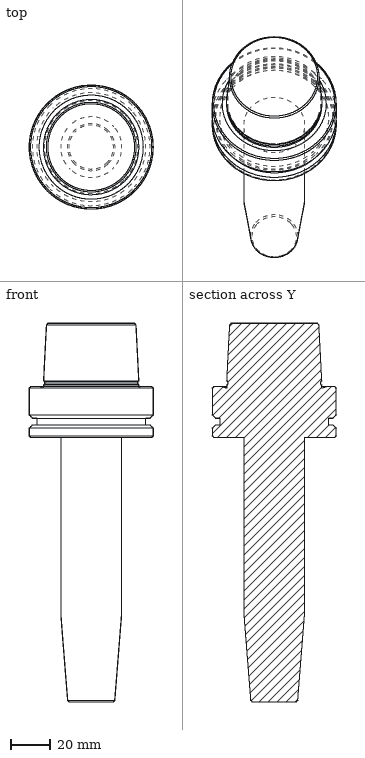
import cadquery as cq

total_height = 191.9
shank_taper_base = 162.7
flange_top = 159.9
flange_bottom = 134.0
groove_top = 145.5
groove_bottom = 138.7
nose_height = 44.3

flange_diameter = 63.0
groove_diameter = 55.3
shank_top_diameter = 45.5
shank_base_diameter = 48.4
neck_diameter = 47.2
collar_diameter = 48.4
recess_diameter = 52.8
body_diameter = 30.9
nose_tip_diameter = 24.0

groove_chamfer = 1.7
flange_chamfer = 0.8
shank_chamfer = 0.8
nose_chamfer = 0.8
neck_step_height = 0.5
recess_depth = 0.8
collar_height = 0.8


def revolve_profile(points):
    """Revolve (radius, height) points about the Z axis."""
    return cq.Workplane("XZ").polyline(points).close().revolve(360, (0, 0, 0), (0, 1, 0))


def make_nose_and_body():
    tip_radius = nose_tip_diameter / 2
    body_radius = body_diameter / 2
    return revolve_profile([
        (0, 0),
        (tip_radius - nose_chamfer, 0),
        (tip_radius, nose_chamfer),
        (body_radius, nose_height),
        (body_radius, flange_bottom),
        (0, flange_bottom),
    ])


def make_flange():
    """Gripper flange with a chamfered groove and a dished recess around the neck."""
    rim_radius = flange_diameter / 2
    groove_radius = groove_diameter / 2
    return revolve_profile([
        (0, flange_bottom),
        (rim_radius - flange_chamfer, flange_bottom),
        (rim_radius, flange_bottom + flange_chamfer),
        (rim_radius, groove_bottom),
        (rim_radius - groove_chamfer, groove_bottom + groove_chamfer),
        (groove_radius, groove_bottom + groove_chamfer),
        (groove_radius, groove_top - groove_chamfer),
        (rim_radius - groove_chamfer, groove_top - groove_chamfer),
        (rim_radius, groove_top),
        (rim_radius, flange_top - flange_chamfer),
        (rim_radius - flange_chamfer, flange_top),
        (recess_diameter / 2, flange_top),
        (collar_diameter / 2, flange_top - recess_depth),
        (0, flange_top - recess_depth),
    ])


def make_taper_shank():
    """Tapered shank above a slightly narrower neck and a low collar."""
    collar_radius = collar_diameter / 2
    neck_radius = neck_diameter / 2
    top_radius = shank_top_diameter / 2
    return revolve_profile([
        (0, flange_top - recess_depth),
        (collar_radius, flange_top - recess_depth),
        (collar_radius, flange_top + collar_height),
        (neck_radius, flange_top + collar_height + neck_step_height),
        (neck_radius, shank_taper_base - neck_step_height),
        (shank_base_diameter / 2, shank_taper_base),
        (top_radius, total_height - shank_chamfer),
        (top_radius - shank_chamfer, total_height),
        (0, total_height),
    ])


result = make_nose_and_body().union(make_flange()).union(make_taper_shank())